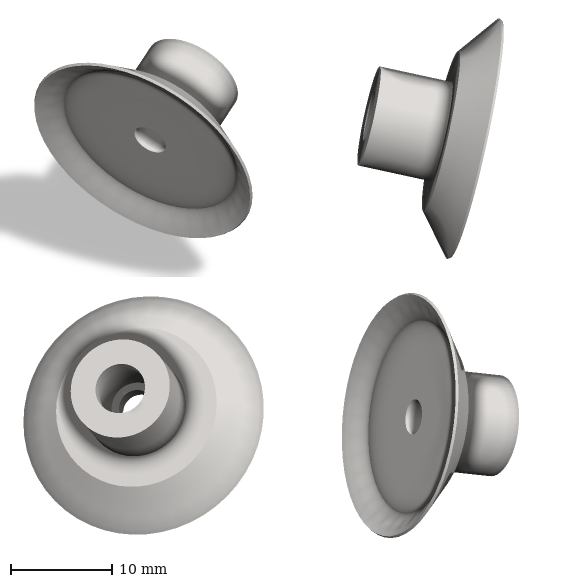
import cadquery as cq

rim_radius = 12.18
mouth_radius = 12.03
floor_radius = 9.6
back_radius = 8.13
stem_radius = 5.02
hole_radius = 1.75
lip_height = 0.25
floor_depth = 1.68
cup_height = 3.5
stem_length = 7.3
stem_bore_radius = 2.5

total_height = cup_height + stem_length


def make_body():
    """Revolve the cup and its hollow stem around the Y axis."""
    profile = [
        (hole_radius, floor_depth),
        (floor_radius, floor_depth),
        (mouth_radius, 0),
        (rim_radius, lip_height),
        (back_radius, cup_height),
        (stem_radius, cup_height),
        (stem_radius, total_height),
        (stem_bore_radius, total_height),
        (stem_bore_radius, cup_height),
        (hole_radius, cup_height),
    ]
    return cq.Workplane("XY").polyline(profile).close().revolve(360, (0, 0), (0, 1))


result = make_body()